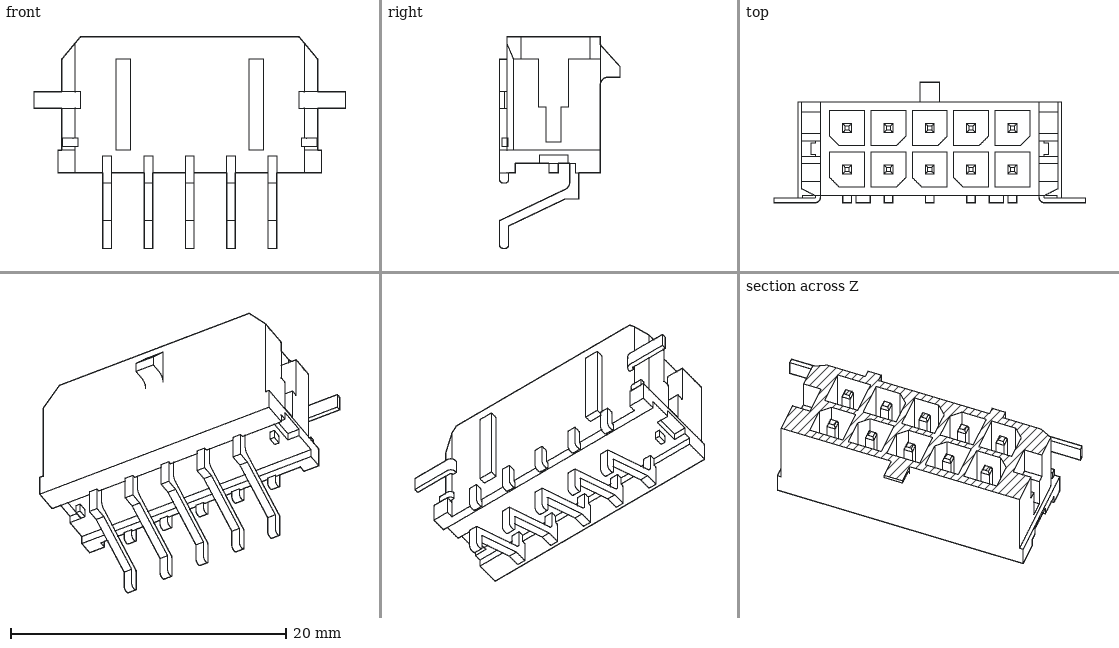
import cadquery as cq
import math


PITCH = 3.0
COLUMNS = 5
COLUMN_X = [(i - (COLUMNS - 1) / 2) * PITCH for i in range(COLUMNS)]
ROW_Y = PITCH / 2

HOUSING_LENGTH = 18.6
HOUSING_DEPTH = 6.8
HOUSING_HEIGHT = 9.9
HALF_LENGTH = HOUSING_LENGTH / 2
BACK_Y = HOUSING_DEPTH / 2
FRONT_Y = -BACK_Y
FRONT_RELIEF = 0.54
OUTER_Y = FRONT_Y - FRONT_RELIEF
TOP_CHAMFER_X = 1.37
TOP_CHAMFER_Z = 1.64
SHOULDER_Z = HOUSING_HEIGHT - TOP_CHAMFER_Z
CORNER_CHAMFER_X = 0.96
CORNER_CHAMFER_Y = 0.49
CORNER_X = HALF_LENGTH - CORNER_CHAMFER_X

BASE_LENGTH = 19.16
BASE_HEIGHT = 1.65
ARCH_HEIGHT = 0.68
ARCH_BACK_Y = 1.58
ARCH_FRONT_Y = -2.78
SIDE_RECESS_WIDTH = 2.06
SIDE_RECESS_TOP = 1.3
SIDE_RECESS_DEPTH = 0.95
PEG_WIDTH = 0.7

BACK_WALL = 0.75
FRONT_WALL = 1.03
POCKET_FLOOR_X = HALF_LENGTH - TOP_CHAMFER_X
POCKET_BACK_Y = BACK_Y - BACK_WALL
POCKET_FRONT_Y = FRONT_Y + FRONT_WALL
WIDE_SLOT_WIDTH = 2.18
WIDE_SLOT_Z = 4.78
NARROW_SLOT_WIDTH = 1.1
NARROW_SLOT_Z = 2.25
FLOOR_NOTCH_WIDTH = 0.86
FLOOR_NOTCH_LENGTH = 0.34
FLOOR_NOTCH_DEPTH = 0.5

CAVITY_SIZE = 2.54
CAVITY_CHAMFER = 0.68
CAVITY_FLOOR_Z = BASE_HEIGHT
BACK_ROW_KEYS = ["L", "R", "R", "R", "R"]
FRONT_ROW_KEYS = ["L", "R", "L", "L", ""]

CONTACT_WIDTH = 0.64
CONTACT_THICKNESS = 0.68
CONTACT_TOP_Z = 7.4
CONTACT_TIP_WIDTH = 0.3
CONTACT_TIP_HEIGHT = 0.5
LEAD_INNER_Y = OUTER_Y + CONTACT_THICKNESS
LEAD_TIP_RADIUS = 0.28
SHORT_LEAD_TOP_Z = 1.22
SHORT_LEAD_END_Z = -0.75
LONG_LEAD_END_Z = -5.5
LONG_LEAD_KNEE_Z = -3.47
LONG_LEAD_ELBOW_Z = -1.91
LONG_LEAD_ELBOW_Y = 0.83
LONG_LEAD_SLOPE = math.radians(25.5)
LONG_LEAD_BEND_RADIUS = 0.55

RIB_WIDTH = 1.06
RIB_X = 4.84

LATCH_WIDTH = 1.45
LATCH_REACH = 1.43
LATCH_TOP_Z = 9.3
LATCH_TIP_TOP_Z = 7.72
LATCH_TIP_BOTTOM_Z = 6.94
LATCH_FILLET = 0.55

STRIP_THICKNESS = 0.36
STRIP_ANCHOR = 0.6
STRIP_ROOT_Y = FRONT_Y + STRIP_ANCHOR
TAB_SPAN = 22.65
TAB_END_X = TAB_SPAN / 2
TAB_BOTTOM_Z = 4.68
TAB_TOP_Z = 5.91
TAB_BEND_RADIUS = 0.43
STOP_INNER_X = 8.13
STOP_END_X = 9.23
STOP_FRONT_Y = -3.75
STOP_BOTTOM_Z = 1.9
STOP_TOP_Z = 2.53


def box(x0, x1, y0, y1, z0, z1):
    """Box between two opposite corners."""
    return cq.Workplane("XY").box(x1 - x0, y1 - y0, z1 - z0, centered=False).translate((x0, y0, z0))


def both_ends(shape):
    """Shape at the +X end together with its mirror at the -X end."""
    return shape.union(shape.mirror("YZ"))


def side_profile(x_center, width):
    """Workplane for (Y, Z) outlines, centred on x_center once extruded by width."""
    return cq.Workplane("YZ").workplane(offset=x_center - width / 2)


def housing_shell():
    """Body with sloped top ends and bevelled front corners, standing on the base flange."""
    elevation = [
        (-HALF_LENGTH, 0),
        (HALF_LENGTH, 0),
        (HALF_LENGTH, SHOULDER_Z),
        (POCKET_FLOOR_X, HOUSING_HEIGHT),
        (-POCKET_FLOOR_X, HOUSING_HEIGHT),
        (-HALF_LENGTH, SHOULDER_Z),
    ]
    plan = [
        (-HALF_LENGTH, BACK_Y),
        (HALF_LENGTH, BACK_Y),
        (HALF_LENGTH, FRONT_Y + CORNER_CHAMFER_Y),
        (CORNER_X, FRONT_Y),
        (-CORNER_X, FRONT_Y),
        (-HALF_LENGTH, FRONT_Y + CORNER_CHAMFER_Y),
    ]
    body = cq.Workplane("XZ").polyline(elevation).close().extrude(HOUSING_DEPTH / 2, both=True)
    body = body.intersect(cq.Workplane("XY").polyline(plan).close().extrude(HOUSING_HEIGHT))
    base_half = BASE_LENGTH / 2
    base = box(-base_half, base_half, FRONT_Y, BACK_Y, 0, BASE_HEIGHT)
    foot = box(CORNER_X, base_half, OUTER_Y, BACK_Y, 0, BASE_HEIGHT)
    return body.union(base).union(both_ends(foot))


def end_pocket():
    """Stepped pocket removed from the +X end, narrowing downwards, with a notch in its floor."""
    def slot(half_width, bottom):
        return box(POCKET_FLOOR_X, HALF_LENGTH, -half_width, half_width, bottom, HOUSING_HEIGHT)

    mouth = box(POCKET_FLOOR_X, HALF_LENGTH, POCKET_FRONT_Y, POCKET_BACK_Y, SHOULDER_Z, HOUSING_HEIGHT)
    notch_half = FLOOR_NOTCH_WIDTH / 2
    narrow_half = NARROW_SLOT_WIDTH / 2
    strip_x = POCKET_FLOOR_X + STRIP_THICKNESS
    notch_bottom = NARROW_SLOT_Z - FLOOR_NOTCH_DEPTH
    strip_notch = box(POCKET_FLOOR_X, strip_x, -narrow_half, narrow_half, notch_bottom, NARROW_SLOT_Z)
    tongue_notch = box(
        strip_x, strip_x + FLOOR_NOTCH_LENGTH, -notch_half, notch_half, notch_bottom, NARROW_SLOT_Z
    )
    pocket = mouth.union(slot(WIDE_SLOT_WIDTH / 2, WIDE_SLOT_Z))
    pocket = pocket.union(slot(narrow_half, NARROW_SLOT_Z))
    return pocket.union(strip_notch).union(tongue_notch)


def underside_arch():
    """Full-length channel below the base plus the shallow recess in each end face."""
    base_half = BASE_LENGTH / 2
    recess_half = SIDE_RECESS_WIDTH / 2
    channel = box(-base_half, base_half, ARCH_FRONT_Y, ARCH_BACK_Y, 0, ARCH_HEIGHT)
    recess = box(base_half - SIDE_RECESS_DEPTH, base_half, -recess_half, recess_half, 0, SIDE_RECESS_TOP)
    return channel.union(both_ends(recess))


def cavity(x, y, key):
    """Square contact cavity with its keyed front corners bevelled."""
    half = CAVITY_SIZE / 2
    corner = half - CAVITY_CHAMFER
    left = [(-half, -corner), (-corner, -half)] if key == "L" else [(-half, -half)]
    right = [(corner, -half), (half, -corner)] if key == "R" else [(half, -half)]
    outline = left + right + [(half, half), (-half, half)]
    depth = HOUSING_HEIGHT - CAVITY_FLOOR_Z
    return cq.Workplane("XY").polyline(outline).close().extrude(depth).translate((x, y, CAVITY_FLOOR_Z))


def contact_post(x, y):
    """Square post with a tapered tip, rising from the cavity floor."""
    shaft_height = CONTACT_TOP_Z - CONTACT_TIP_HEIGHT - ARCH_HEIGHT
    shaft = cq.Workplane("XY").rect(CONTACT_WIDTH, CONTACT_WIDTH).extrude(shaft_height)
    tip = (
        cq.Workplane("XY").workplane(offset=shaft_height).rect(CONTACT_WIDTH, CONTACT_WIDTH)
        .workplane(offset=CONTACT_TIP_HEIGHT).rect(CONTACT_TIP_WIDTH, CONTACT_TIP_WIDTH).loft()
    )
    return shaft.union(tip).translate((x, y, ARCH_HEIGHT))


def round_tip(lead):
    """Round the two lengthwise edges at the lower end of a lead."""
    return lead.faces("<Z").edges("|X").fillet(LEAD_TIP_RADIUS)


def short_lead(x):
    """Straight front-row lead running down the front face."""
    half = CONTACT_WIDTH / 2
    return round_tip(box(x - half, x + half, OUTER_Y, LEAD_INNER_Y, SHORT_LEAD_END_Z, SHORT_LEAD_TOP_Z))


def long_lead(x):
    """Back-row lead: down through the arch, sloping forward, then down to its tip."""
    back_y = ROW_Y + CONTACT_THICKNESS / 2
    inner_y = ROW_Y - CONTACT_THICKNESS / 2
    slope = math.tan(LONG_LEAD_SLOPE)
    bend_z = LONG_LEAD_KNEE_Z + (inner_y - OUTER_Y) * slope
    inner_knee_z = LONG_LEAD_ELBOW_Z - (LONG_LEAD_ELBOW_Y - LEAD_INNER_Y) * slope
    outline = [
        (back_y, ARCH_HEIGHT),
        (back_y, LONG_LEAD_ELBOW_Z),
        (LONG_LEAD_ELBOW_Y, LONG_LEAD_ELBOW_Z),
        (LEAD_INNER_Y, inner_knee_z),
        (LEAD_INNER_Y, LONG_LEAD_END_Z),
        (OUTER_Y, LONG_LEAD_END_Z),
        (OUTER_Y, LONG_LEAD_KNEE_Z),
        (inner_y, bend_z),
        (inner_y, ARCH_HEIGHT),
    ]
    lead = side_profile(x, CONTACT_WIDTH).polyline(outline).close().extrude(CONTACT_WIDTH)
    bend_edge = cq.selectors.NearestToPointSelector((x, inner_y, bend_z))
    return round_tip(lead.edges("|X").edges(bend_edge).fillet(LONG_LEAD_BEND_RADIUS))


def front_rib(x):
    """Upright rib on the front face."""
    return box(x - RIB_WIDTH / 2, x + RIB_WIDTH / 2, OUTER_Y, FRONT_Y, BASE_HEIGHT, SHOULDER_Z)


def latch():
    """Ramped latch on the back face with a filleted root below."""
    tip_y = BACK_Y + LATCH_REACH
    bottom_z = LATCH_TIP_BOTTOM_Z
    fillet_mid = LATCH_FILLET * (1 - math.sqrt(0.5))
    return (
        side_profile(0, LATCH_WIDTH)
        .moveTo(BACK_Y, LATCH_TOP_Z)
        .lineTo(tip_y, LATCH_TIP_TOP_Z)
        .lineTo(tip_y, bottom_z)
        .lineTo(BACK_Y + LATCH_FILLET, bottom_z)
        .threePointArc((BACK_Y + fillet_mid, bottom_z - fillet_mid), (BACK_Y, bottom_z - LATCH_FILLET))
        .close()
        .extrude(LATCH_WIDTH)
    )


def bent_strip(inner_x, end_x, front_y, bend_radius, bottom, top):
    """Strip leaving the front face near the +X end and bent outwards along X."""
    mid_z = (bottom + top) / 2
    arm = box(inner_x, end_x, front_y, front_y + STRIP_THICKNESS, bottom, top)
    root = box(inner_x, inner_x + STRIP_THICKNESS, front_y, STRIP_ROOT_Y, bottom, top)
    strip = arm.union(root)
    outer_edge = cq.selectors.NearestToPointSelector((inner_x, front_y, mid_z))
    strip = strip.edges("|Z").edges(outer_edge).fillet(bend_radius)
    inner_radius = bend_radius - STRIP_THICKNESS
    if inner_radius > 0:
        inner_corner = (inner_x + STRIP_THICKNESS, front_y + STRIP_THICKNESS, mid_z)
        inner_edge = cq.selectors.NearestToPointSelector(inner_corner)
        strip = strip.edges("|Z").edges(inner_edge).fillet(inner_radius)
    return strip


def nail_peg():
    """Peg hanging into the arch at the +X end."""
    half = PEG_WIDTH / 2
    return box(POCKET_FLOOR_X, POCKET_FLOOR_X + STRIP_THICKNESS, -half, half, 0, ARCH_HEIGHT)


result = housing_shell().cut(both_ends(end_pocket())).cut(underside_arch())

for column_x, back_key, front_key in zip(COLUMN_X, BACK_ROW_KEYS, FRONT_ROW_KEYS):
    result = result.cut(cavity(column_x, ROW_Y, back_key)).cut(cavity(column_x, -ROW_Y, front_key))

for column_x in COLUMN_X:
    result = result.union(contact_post(column_x, ROW_Y)).union(contact_post(column_x, -ROW_Y))
    result = result.union(long_lead(column_x)).union(short_lead(column_x))

solder_tab = bent_strip(POCKET_FLOOR_X, TAB_END_X, OUTER_Y, TAB_BEND_RADIUS, TAB_BOTTOM_Z, TAB_TOP_Z)
stop_tab = bent_strip(
    STOP_INNER_X, STOP_END_X, STOP_FRONT_Y, STRIP_THICKNESS, STOP_BOTTOM_Z, STOP_TOP_Z
)
result = result.union(both_ends(front_rib(RIB_X))).union(latch())
result = result.union(both_ends(solder_tab)).union(both_ends(stop_tab)).union(both_ends(nail_peg()))